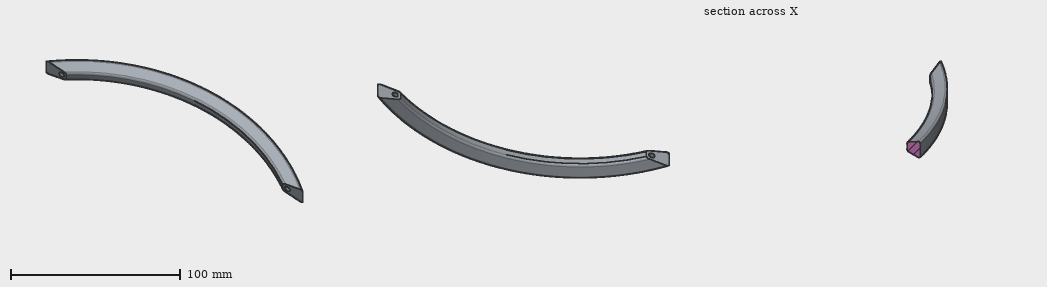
import cadquery as cq
import math

length = 182.0
rise = 34.0
height = 11.3

depth = 9.0
side_taper = math.radians(18)
outer_fillet = 1.1
inner_fillet = 1.6

wide_side = height + 2 * outer_fillet * (1 / math.cos(side_taper) + math.tan(side_taper) - 1)
narrow_side = wide_side - 2 * depth * math.tan(side_taper)

hole_spacing = 160.2
hole_diameter = 3.5

outer_radius = ((length / 2) ** 2 + rise ** 2) / (2 * rise)
inner_radius = outer_radius - depth
center_y = rise - outer_radius


def arched_bar():
    """Revolve the tapered section and keep the part above the feet."""
    ring = (
        cq.Workplane("YZ")
        .polyline([
            (inner_radius, -narrow_side / 2),
            (outer_radius, -wide_side / 2),
            (outer_radius, wide_side / 2),
            (inner_radius, narrow_side / 2),
        ])
        .close()
        .revolve(360, (0, 0, 0), (0, 1, 0))
    )
    outer_edges = cq.selectors.RadiusNthSelector(-1)
    inner_edges = cq.selectors.RadiusNthSelector(0)
    ring = ring.edges(outer_edges).fillet(outer_fillet)
    ring = ring.edges(inner_edges).fillet(inner_fillet)
    ring = ring.translate((0, center_y, 0))
    keep = cq.Workplane("XY").box(2 * length, length, 2 * height, centered=(True, False, True))
    return ring.intersect(keep)


def mounting_hole(x):
    """A straight hole along Y, running right through one foot."""
    pin = cq.Workplane("XZ").circle(hole_diameter / 2).extrude(-rise)
    return pin.translate((x, 0, 0))


result = arched_bar()
for side in (-1, 1):
    result = result.cut(mounting_hole(side * hole_spacing / 2))